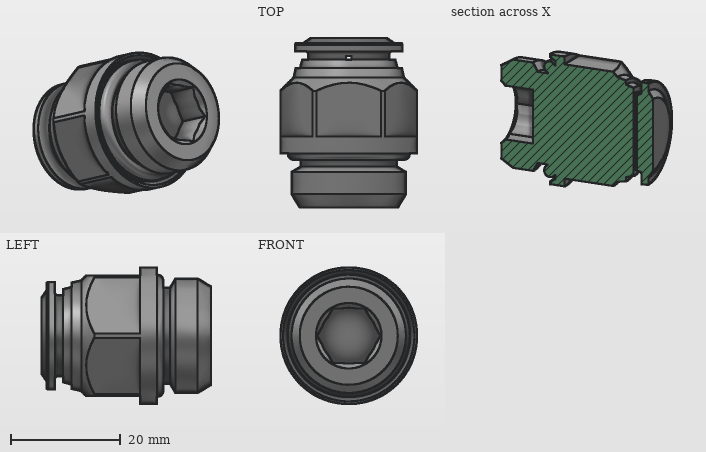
import cadquery as cq
import math


thread_radius = 10.45
thread_tip_radius = 8.95
thread_chamfer_top = 2.48
thread_top = 6.5
neck_radius = 8.8
neck_start = 7.47

flange_bottom = 9.92
seal_center_radius = 9.95
seal_section_radius = 1.2
recess_mouth_radius = 12.0
recess_floor_radius = 11.22
recess_depth = 1.12

flange_radius = 12.5
flange_top = 12.95
hex_across_flats = 22.0
hex_chamfer_start = 21.33
hex_top = 23.7
hex_top_radius = flange_radius - (hex_top - hex_chamfer_start)

lower_shoulder_radius = 9.7
lower_shoulder_top = 25.48
upper_shoulder_base_radius = 8.93
upper_shoulder_radius = 8.5
upper_shoulder_top = 27.03

sleeve_radius = 7.45
sleeve_fillet = 0.5
collar_bottom = 28.55
collar_radius = 9.83
collar_chamfer_start = 29.73
collar_top = 30.05
collar_top_radius = 9.67
tip_base_radius = 8.3
tip_radius = 6.88
length = 31.0
slot_width = 1.0
slot_height = 0.62

socket_across_flats = 10.0
socket_depth = 6.4
pilot_radius = 5.1
countersink_radius = 5.98


def hexagon_diameter(across_flats):
    """Distance across the corners of a regular hexagon."""
    return across_flats / math.cos(math.pi / 6)


def section_outline():
    """Half section of the turned body, drawn as (radius, Y)."""
    neck_contact = flange_bottom - math.sqrt(
        seal_section_radius**2 - (seal_center_radius - neck_radius) ** 2
    )
    floor_contact = seal_center_radius + math.sqrt(seal_section_radius**2 - recess_depth**2)
    seal_diagonal = seal_section_radius * math.sqrt(0.5)
    seal_arc_middle = (seal_center_radius + seal_diagonal, flange_bottom - seal_diagonal)
    recess_floor = flange_bottom + recess_depth

    fillet_setback = sleeve_fillet * (1 - math.sqrt(0.5))
    fillet_middle = (sleeve_radius + fillet_setback, collar_bottom - fillet_setback)

    return (
        cq.Workplane("XY")
        .lineTo(thread_tip_radius, 0)
        .lineTo(thread_radius, thread_chamfer_top)
        .lineTo(thread_radius, thread_top)
        .lineTo(neck_radius, neck_start)
        .lineTo(neck_radius, neck_contact)
        .threePointArc(seal_arc_middle, (floor_contact, recess_floor))
        .lineTo(recess_floor_radius, recess_floor)
        .lineTo(recess_mouth_radius, flange_bottom)
        .lineTo(flange_radius, flange_bottom)
        .lineTo(flange_radius, hex_chamfer_start)
        .lineTo(hex_top_radius, hex_top)
        .lineTo(lower_shoulder_radius, lower_shoulder_top)
        .lineTo(upper_shoulder_base_radius, lower_shoulder_top)
        .lineTo(upper_shoulder_radius, upper_shoulder_top)
        .lineTo(sleeve_radius, upper_shoulder_top)
        .lineTo(sleeve_radius, collar_bottom - sleeve_fillet)
        .threePointArc(fillet_middle, (sleeve_radius + sleeve_fillet, collar_bottom))
        .lineTo(collar_radius, collar_bottom)
        .lineTo(collar_radius, collar_chamfer_start)
        .lineTo(collar_top_radius, collar_top)
        .lineTo(tip_base_radius, collar_top)
        .lineTo(tip_radius, length)
        .lineTo(0, length)
        .close()
    )


def wrench_flats():
    """Material outside the wrench hexagon, between the flange and the shoulders."""
    return (
        cq.Workplane("XZ", origin=(0, flange_top, 0))
        .circle(2 * flange_radius)
        .polygon(6, hexagon_diameter(hex_across_flats))
        .extrude(flange_top - hex_top)
    )


def hexagon_socket():
    """Blind hexagon with its pilot hole and countersink, open at the threaded end."""
    face = cq.Workplane("XZ")
    hexagon = face.polygon(6, hexagon_diameter(socket_across_flats)).extrude(-socket_depth)
    pilot = face.circle(pilot_radius).extrude(-socket_depth)
    countersink = (
        cq.Workplane("XY")
        .lineTo(countersink_radius, 0)
        .lineTo(0, countersink_radius)
        .close()
        .revolve(360, (0, 0, 0), (0, 1, 0))
    )
    return hexagon.union(pilot).union(countersink)


def sleeve_slot():
    """Small slot through the release sleeve along Z, just above the shoulders."""
    slot_center = (0, upper_shoulder_top + slot_height / 2, 0)
    return cq.Workplane("XY", origin=slot_center).box(slot_width, slot_height, 2 * collar_radius)


body = section_outline().revolve(360, (0, 0, 0), (0, 1, 0))
result = body.cut(wrench_flats()).cut(hexagon_socket()).cut(sleeve_slot())